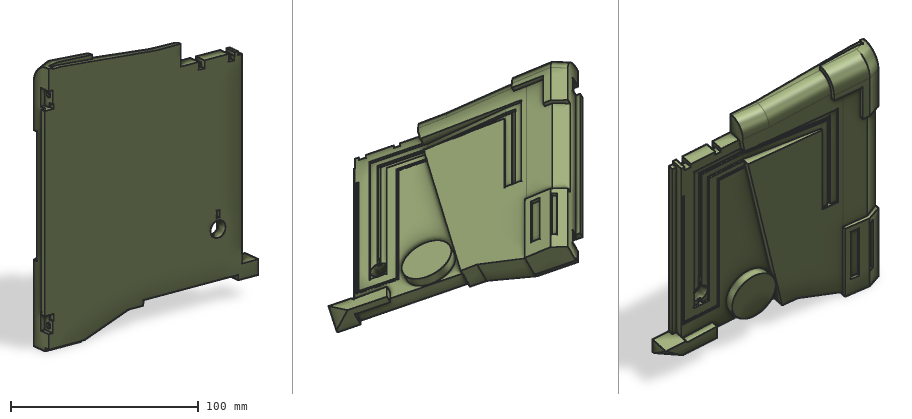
import cadquery as cq


PLATE_DEPTH = 7.6
PLATE_END_Y = 126.9
PLATE_BOTTOM_Z = 15.6
PLATE_TOP_Z = 142.9
NOTCH_FLOOR_Z = 140.7
NOTCH_SPANS_Y = [(100.5, 104.3), (120.5, 124.6)]

TONGUE_DEPTH = 3.1
TONGUE_REACH = 2.6
TONGUE_BOTTOM_Z = 21.5
FRONT_TONGUE_TOP_Z = 138.3
REBATE_HEIGHT = 2.0

BODY_END_Y = 88.5
STRIP_Y = 24.0
CAP_Y = 31.5
EDGE_Y = 8.5
DIAGONAL_FOOT_Y = 63.1
BODY_BOTTOM_Z = 12.5
BODY_FLAT_END_Y = 53.4
CORE_RADIUS = 10.0
CORE_END_DEPTH = 11.0
CORE_TAPER = 0.042
TOP_LEVEL_Y = 71.8
TOP_LEVEL_Z = 155.9
TOP_SLOPE = 0.083

STRIP_EDGE_DEPTH = 14.6
STRIP_FRONT_DEPTH = 10.5

MAX_DEPTH = 17.0
EDGE_DEPTH = 13.3
CAP_RADIUS = 11.9
FULL_HEIGHT = 162.7
CAP_STATIONS = [
    (0.0, EDGE_DEPTH, 161.7, CAP_RADIUS),
    (EDGE_Y, MAX_DEPTH, FULL_HEIGHT, CAP_RADIUS),
    (CAP_Y, 16.0, 161.7, CAP_RADIUS),
]
CAP_STEP_Y = 13.0
CAP_STEP_Z = 146.0
CAP_BOTTOM_Z = 123.0
BLOCK_TOP_Z = 49.1
BLOCK_FLAT_Y = 9.5
BLOCK_INNER_DEPTH = 15.8
SKIN = 2.6

SLOT_BOTTOM_Z = 10.9
SLOT_TOP_Z = 45.0
SLOT_DEPTH = 1.8
FACE_SLOT_Y = (15.1, 20.5)
EDGE_SLOT_Y = 5.4

CHANNEL_STEP = 1.3
CHANNEL_WIDTH = 10.1
CHANNEL_REAR_Y = 118.5
CHANNEL_FRONT_Y = 27.2
CHANNEL_TOP_Z = 136.0
CHANNEL_REAR_BOTTOM_Z = 37.6
CHANNEL_FRONT_BOTTOM_Z = 68.5
GROOVE_WIDTH = 2.1
RAMP_START_Y = 85.1
HOLE_Z = 44.7
HOLE_DIAMETER = 10.0
WINDOW_Z = (51.3, 55.5)

LINE_WIDTH = 1.1
LINE_DEPTH = 0.7
LINE_REAR_Y = 126.0
LINE_FRONT_Y = 101.5
LINE_BOTTOM_Z = 29.8
LINE_TOP_Z = 122.0

DISC_Y = 82.7
DISC_Z = 30.6
DISC_DIAMETER = 29.0
DISC_DEPTH = 13.0
FOOT_DEPTH = 11.9
FOOT_END_Y = 140.4
FOOT_START_Y = 106.2
FOOT_START_TOP_Z = 20.8
FOOT_STEP_WIDTH = 1.0
FOOT_STEP_Z = 20.2
FOOT_BEVEL_Y = 11.2
FOOT_BEVEL_X = 10.4
POCKET_DEPTH_X = 6.8
POCKET_HEIGHT = 10.5
POCKET_BOTTOMS_Z = [10.7, FRONT_TONGUE_TOP_Z]
POCKET_RELIEF = 0.8
RELIEF_SPANS_Z = [(17.5, TONGUE_BOTTOM_Z), (FRONT_TONGUE_TOP_Z, NOTCH_FLOOR_Z)]
PIN_DIAMETER = 3.3
PIN_DEPTH = 1.3
PIN_X = -3.5
PINS_Z = [14.0, 145.5]


def box(depths, ys, zs):
    """Block between two depths, two Y values and two Z values."""
    size_x, size_y, size_z = (b - a for a, b in (depths, ys, zs))
    corner = (-depths[1], ys[0], zs[0])
    return cq.Workplane("XY").box(size_x, size_y, size_z, centered=False).translate(corner)


def side_prism(points, inner_depth, outer_depth):
    """Outline of (Y, Z) points, filled between two depths."""
    sketch = cq.Workplane("YZ", origin=(-outer_depth, 0, 0)).polyline(points).close()
    return sketch.extrude(outer_depth - inner_depth)


def plan_prism(points, bottom_z, top_z):
    """Outline of (depth, Y) points, filled between two heights."""
    outline = [(-depth, y) for depth, y in points]
    sketch = cq.Workplane("XY", origin=(0, 0, bottom_z)).polyline(outline).close()
    return sketch.extrude(top_z - bottom_z)


def station_section(y, depth, top_z, radius):
    """Cross-section of the body at one Y, with its outer top edge rounded."""
    diagonal = radius * (1 - 0.5 ** 0.5)
    section = (
        cq.Workplane("XZ", origin=(0, y, 0))
        .moveTo(0, 0)
        .lineTo(-depth, 0)
        .lineTo(-depth, top_z - radius)
        .threePointArc((-depth + diagonal, top_z - diagonal), (-depth + radius, top_z))
        .lineTo(0, top_z)
        .close()
    )
    return section.wire().val()


def ruled_body(stations):
    """Straight-sided body running through all the stations."""
    sections = [station_section(*station) for station in stations]
    pieces = [cq.Solid.makeLoft(list(pair), True) for pair in zip(sections, sections[1:])]
    body = cq.Workplane(pieces[0])
    for piece in pieces[1:]:
        body = body.union(piece)
    return body


def core_depth(y):
    """Depth of the tapered face at a given Y."""
    return CORE_END_DEPTH + CORE_TAPER * (BODY_END_Y - y)


def make_plate():
    plate = box((0, PLATE_DEPTH), (STRIP_Y, PLATE_END_Y), (PLATE_BOTTOM_Z, PLATE_TOP_Z))
    for span in NOTCH_SPANS_Y:
        plate = plate.cut(box((0, PLATE_DEPTH), span, (NOTCH_FLOOR_Z, PLATE_TOP_Z)))
        plate = plate.cut(box((0, TONGUE_DEPTH), span, (FRONT_TONGUE_TOP_Z, PLATE_TOP_Z)))

    line_depths = (PLATE_DEPTH - LINE_DEPTH, PLATE_DEPTH)
    upright = (LINE_BOTTOM_Z, LINE_TOP_Z)
    across = (LINE_FRONT_Y, LINE_REAR_Y)
    lines = [
        ((LINE_REAR_Y - LINE_WIDTH, LINE_REAR_Y), upright),
        ((LINE_FRONT_Y, LINE_FRONT_Y + LINE_WIDTH), upright),
        (across, (LINE_BOTTOM_Z, LINE_BOTTOM_Z + LINE_WIDTH)),
        ((DIAGONAL_FOOT_Y, LINE_FRONT_Y), (LINE_TOP_Z - LINE_WIDTH, LINE_TOP_Z)),
    ]
    for ys, zs in lines:
        plate = plate.cut(box(line_depths, ys, zs))
    return plate


def make_core():
    outline = [
        (0, REBATE_HEIGHT),
        (STRIP_Y, REBATE_HEIGHT),
        (BODY_FLAT_END_Y, BODY_BOTTOM_Z),
        (DIAGONAL_FOOT_Y, BODY_BOTTOM_Z),
        (BODY_END_Y, PLATE_TOP_Z),
        (BODY_END_Y, FULL_HEIGHT),
        (0, FULL_HEIGHT),
    ]
    front_top_z = TOP_LEVEL_Z + TOP_SLOPE * (TOP_LEVEL_Y - EDGE_Y)
    bevel = STRIP_EDGE_DEPTH - STRIP_FRONT_DEPTH
    stations = [
        (0, core_depth(EDGE_Y) - bevel, front_top_z, CORE_RADIUS),
        (EDGE_Y, core_depth(EDGE_Y), front_top_z, CORE_RADIUS),
        (TOP_LEVEL_Y, core_depth(TOP_LEVEL_Y), TOP_LEVEL_Z, CORE_RADIUS),
        (BODY_END_Y, CORE_END_DEPTH, TOP_LEVEL_Z, CORE_RADIUS),
    ]
    return ruled_body(stations).intersect(side_prism(outline, 0, MAX_DEPTH))


def make_strip():
    outline = [
        (TONGUE_DEPTH, 0),
        (STRIP_FRONT_DEPTH, 0),
        (STRIP_EDGE_DEPTH, EDGE_Y),
        (core_depth(STRIP_Y), STRIP_Y),
        (TONGUE_DEPTH, STRIP_Y),
    ]
    return plan_prism(outline, REBATE_HEIGHT, CAP_STEP_Z)


def make_cap():
    outline = [
        (0, CAP_BOTTOM_Z),
        (CAP_STEP_Y, CAP_BOTTOM_Z),
        (CAP_STEP_Y, CAP_STEP_Z),
        (CAP_Y, CAP_STEP_Z),
        (CAP_Y, FULL_HEIGHT),
        (0, FULL_HEIGHT),
    ]
    region = side_prism(outline, TONGUE_DEPTH, MAX_DEPTH)
    region = region.union(box((0, TONGUE_DEPTH), (0, SKIN), (CAP_BOTTOM_Z, FULL_HEIGHT)))
    return ruled_body(CAP_STATIONS).intersect(region)


def make_block():
    outline = [
        (TONGUE_DEPTH, 0),
        (EDGE_DEPTH, 0),
        (MAX_DEPTH, EDGE_Y),
        (MAX_DEPTH, BLOCK_FLAT_Y),
        (BLOCK_INNER_DEPTH, STRIP_Y),
        (TONGUE_DEPTH, STRIP_Y),
    ]
    return plan_prism(outline, 0, BLOCK_TOP_Z)


def slot(start, end):
    """Pocket cut square to the sloping face between two (depth, Y) points on it."""
    run_depth = end[0] - start[0]
    run_y = end[1] - start[1]
    length = (run_depth ** 2 + run_y ** 2) ** 0.5
    sink_depth = -SLOT_DEPTH * run_y / length
    sink_y = SLOT_DEPTH * run_depth / length
    points = [
        (start[0] - sink_depth, start[1] - sink_y),
        (end[0] - sink_depth, end[1] - sink_y),
        (end[0] + sink_depth, end[1] + sink_y),
        (start[0] + sink_depth, start[1] + sink_y),
    ]
    return plan_prism(points, SLOT_BOTTOM_Z, SLOT_TOP_Z)


def face_slot():
    taper = (MAX_DEPTH - BLOCK_INNER_DEPTH) / (STRIP_Y - BLOCK_FLAT_Y)
    ends = [(MAX_DEPTH - taper * (y - BLOCK_FLAT_Y), y) for y in FACE_SLOT_Y]
    return slot(*ends)


def edge_slot():
    start_depth = EDGE_DEPTH + (MAX_DEPTH - EDGE_DEPTH) * EDGE_SLOT_Y / EDGE_Y
    cutter = slot((start_depth, EDGE_SLOT_Y), (MAX_DEPTH, EDGE_Y))
    return cutter.intersect(box((0, 2 * MAX_DEPTH), (0, EDGE_Y), (0, FULL_HEIGHT)))


def channel(width, sink):
    """U-shaped channel of a given width whose floor lies a given amount below the faces."""
    inset = (CHANNEL_WIDTH - width) / 2
    rear = CHANNEL_REAR_Y - inset
    front = CHANNEL_FRONT_Y + inset
    top = CHANNEL_TOP_Z - inset
    outline = [
        (rear, CHANNEL_REAR_BOTTOM_Z),
        (rear, top),
        (front, top),
        (front, CHANNEL_FRONT_BOTTOM_Z),
        (front + width, CHANNEL_FRONT_BOTTOM_Z),
        (front + width, top - width),
        (rear - width, top - width),
        (rear - width, CHANNEL_REAR_BOTTOM_Z),
    ]
    ramp_end_y = CHANNEL_FRONT_Y + CHANNEL_WIDTH
    floor = [
        (PLATE_DEPTH - sink, CHANNEL_REAR_Y),
        (PLATE_DEPTH - sink, RAMP_START_Y),
        (core_depth(ramp_end_y) - sink, ramp_end_y),
        (core_depth(CHANNEL_FRONT_Y) - sink, CHANNEL_FRONT_Y),
        (MAX_DEPTH, CHANNEL_FRONT_Y),
        (MAX_DEPTH, CHANNEL_REAR_Y),
    ]
    return side_prism(outline, 0, MAX_DEPTH).intersect(plan_prism(floor, 0, FULL_HEIGHT))


def cable_exit():
    """Round hole and small window through the plate at the end of the channel."""
    centre_y = CHANNEL_REAR_Y - CHANNEL_WIDTH / 2
    hole = cq.Workplane("YZ").center(centre_y, HOLE_Z).circle(HOLE_DIAMETER / 2).extrude(-PLATE_DEPTH)
    window_y = (centre_y - GROOVE_WIDTH / 2, centre_y + GROOVE_WIDTH / 2)
    return hole.union(box((0, PLATE_DEPTH), window_y, WINDOW_Z))


def make_tongues():
    depths = (0, TONGUE_DEPTH)
    front = box(depths, (-TONGUE_REACH, SKIN), (TONGUE_BOTTOM_Z, FRONT_TONGUE_TOP_Z))
    rear_y = (PLATE_END_Y - TONGUE_REACH, PLATE_END_Y + TONGUE_REACH)
    rear = box(depths, rear_y, (TONGUE_BOTTOM_Z, NOTCH_FLOOR_Z))
    return front.union(rear)


def make_disc():
    sketch = cq.Workplane("YZ").center(DISC_Y, DISC_Z).circle(DISC_DIAMETER / 2)
    return sketch.extrude(-DISC_DEPTH)


def make_foot():
    outline = [
        (FOOT_START_Y, BODY_BOTTOM_Z),
        (PLATE_END_Y, BODY_BOTTOM_Z),
        (PLATE_END_Y, TONGUE_BOTTOM_Z),
        (PLATE_END_Y - FOOT_STEP_WIDTH, FOOT_STEP_Z),
        (FOOT_START_Y, FOOT_START_TOP_Z),
    ]
    foot = side_prism(outline, PLATE_DEPTH, FOOT_DEPTH)
    end_z = (BODY_BOTTOM_Z, TONGUE_BOTTOM_Z)
    foot = foot.union(box((0, FOOT_DEPTH), (PLATE_END_Y, FOOT_END_Y), end_z))
    return foot.cut(foot_bevel())


def foot_bevel():
    """Corner pyramid that bevels the lower outer corner of the foot."""
    corner = (-FOOT_DEPTH, FOOT_END_Y, BODY_BOTTOM_Z)
    along = (-FOOT_DEPTH, FOOT_END_Y - FOOT_BEVEL_Y, BODY_BOTTOM_Z)
    up = (-FOOT_DEPTH, FOOT_END_Y, TONGUE_BOTTOM_Z)
    back = (FOOT_BEVEL_X - FOOT_DEPTH, FOOT_END_Y, BODY_BOTTOM_Z)
    triangles = [(corner, along, up), (corner, along, back), (corner, up, back), (along, up, back)]
    faces = [
        cq.Face.makeFromWires(cq.Wire.makePolygon([cq.Vector(*p) for p in points], close=True))
        for points in triangles
    ]
    return cq.Workplane(cq.Solid.makeSolid(cq.Shell.makeShell(faces)))


def hinge_pockets():
    """Pockets in the front edge, each with a relief behind it and a pin hole."""
    cutter = cq.Workplane()
    for z in POCKET_BOTTOMS_Z:
        cutter = cutter.add(box((0, POCKET_DEPTH_X), (0, SKIN), (z, z + POCKET_HEIGHT)))
    for span in RELIEF_SPANS_Z:
        cutter = cutter.add(box((0, TONGUE_DEPTH), (0, SKIN + POCKET_RELIEF), span))
    for z in PINS_Z:
        pin = cq.Workplane("XZ", origin=(PIN_X, SKIN, z)).circle(PIN_DIAMETER / 2).extrude(-PIN_DEPTH)
        cutter = cutter.add(pin)
    return cutter.combine()


result = make_plate().union(make_core()).union(make_strip())
result = result.union(make_cap()).union(make_block())
result = result.cut(channel(CHANNEL_WIDTH, CHANNEL_STEP))
result = result.cut(channel(GROOVE_WIDTH, 2 * CHANNEL_STEP))
result = result.cut(cable_exit())
result = result.cut(face_slot()).cut(edge_slot())
result = result.cut(hinge_pockets())
result = result.union(make_tongues()).union(make_disc()).union(make_foot())